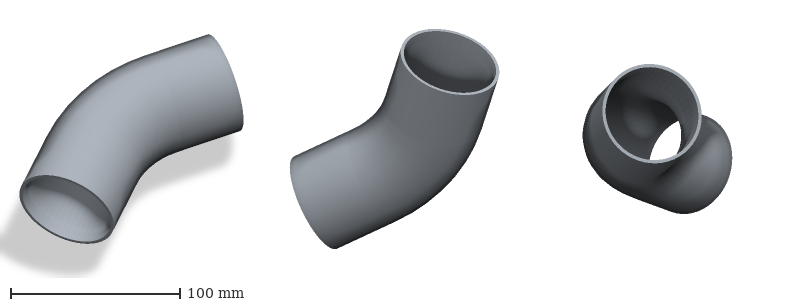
import cadquery as cq
import math

outer_diameter = 60.3
wall_thickness = 2.0
inner_diameter = outer_diameter - 2 * wall_thickness

leg_length = 40.0
bend_radius = 76.0
bend_angle = 45.0


def bend_point(angle_degrees):
    """Point on the bend centreline after turning through the given angle."""
    angle = math.radians(angle_degrees)
    x = bend_radius * (1 - math.cos(angle))
    y = leg_length + bend_radius * math.sin(angle)
    return (x, y)


def elbow_centreline():
    """Centreline in the XY plane, starting at the origin along +Y."""
    bend_end_x, bend_end_y = bend_point(bend_angle)
    heading = math.radians(bend_angle)
    leg_end = (
        bend_end_x + leg_length * math.sin(heading),
        bend_end_y + leg_length * math.cos(heading),
    )
    return (
        cq.Workplane("XY")
        .lineTo(*bend_point(0))
        .threePointArc(bend_point(bend_angle / 2), bend_point(bend_angle))
        .lineTo(*leg_end)
    )


def swept_rod(diameter):
    """Solid round rod following the elbow centreline."""
    return cq.Workplane("XZ").circle(diameter / 2).sweep(elbow_centreline())


result = swept_rod(outer_diameter).cut(swept_rod(inner_diameter))